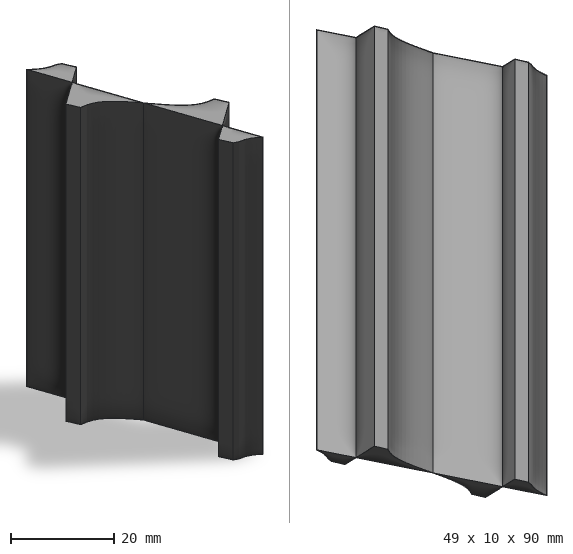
import cadquery as cq
import math

LENGTH = 90.0
STEP = LENGTH / 90
FIRST_STEP = -25
LAST_STEP = 24
ANGLE_PER_STEP = 0.1
WAVE_SCALE = 2 * STEP
CLIP_HEIGHT = 5 * STEP
JOINT_RADIUS = 0.01


def wave_point(step):
    """Point on the clipped tangent wave at a facet edge."""
    height = WAVE_SCALE * math.tan(ANGLE_PER_STEP * step)
    return step * STEP, max(-CLIP_HEIGHT, min(CLIP_HEIGHT, height))


START = wave_point(FIRST_STEP)
END = wave_point(LAST_STEP)
CHORD_SLOPE = (END[1] - START[1]) / (END[0] - START[0])


def height_above_chord(point):
    return point[1] - START[1] - CHORD_SLOPE * (point[0] - START[0])


def chord_crossing(before, after):
    """Point where the facet between two wave points crosses the chord."""
    gap_before = height_above_chord(before)
    gap_after = height_above_chord(after)
    share = gap_before / (gap_before - gap_after)
    return tuple(a + share * (b - a) for a, b in zip(before, after))


def lobes_and_crossings():
    """Split the area between wave and chord into lobes on alternating sides."""
    lobes = []
    crossings = []
    lobe = [START, wave_point(FIRST_STEP + 1)]
    for step in range(FIRST_STEP + 2, LAST_STEP):
        point = wave_point(step)
        if height_above_chord(lobe[-1]) * height_above_chord(point) < 0:
            crossing = chord_crossing(lobe[-1], point)
            crossings.append(crossing)
            lobes.append(lobe + [crossing])
            lobe = [crossing]
        lobe.append(point)
    lobes.append(lobe + [END])
    return lobes, crossings


def without_straight_points(outline):
    """Keep only the corners, dropping points inside the flat crests."""
    corners = []
    for index, point in enumerate(outline):
        neighbours = outline[index - 1], outline[(index + 1) % len(outline)]
        if any(neighbour[1] != point[1] for neighbour in neighbours):
            corners.append(point)
    return corners


lobes, crossings = lobes_and_crossings()

result = cq.Workplane("XY").pushPoints(crossings).circle(JOINT_RADIUS).extrude(LENGTH)
for lobe in lobes:
    result = result.union(cq.Workplane("XY").polyline(without_straight_points(lobe)).close().extrude(LENGTH))